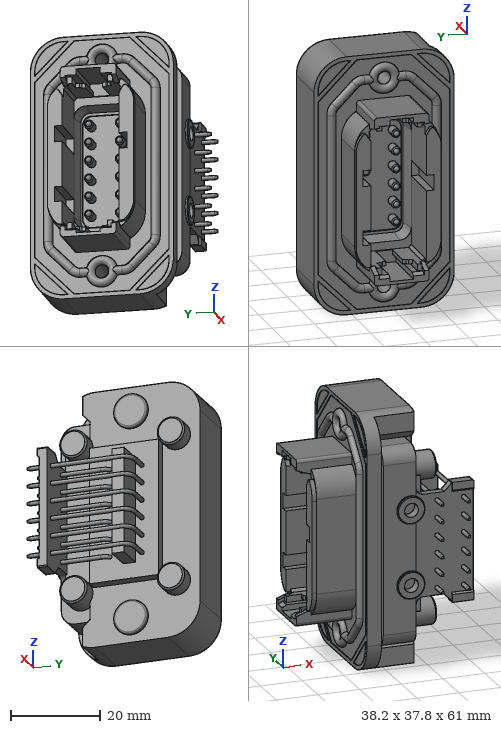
import cadquery as cq
import math


FLANGE_WIDTH = 33.0
FLANGE_HEIGHT = 61.0
FLANGE_CORNER_R = 7.7
FLANGE_PLATE_T = 3.5
FLANGE_REAR_X = 13.1
FLANGE_BORDER = 1.0
PANEL_RECESS = 0.2
PANEL_CHAMFER = 9.1
PANEL_RIB = 1.05
CORE_FACE_Y = -11.8
CORE_INSET = 1.8

HOUSING_REAR_X = 11.4
HOUSING_HALF_Z = 23.6
HOUSING_FACE_Y = -17.6
HOUSING_CORNER_R = 3.4
STEP_HALF_Z = 16.2
STEP_FACE_Y = -15.9
BOSS_REAR_X = 15.75
BOSS_BOTTOM_Y = -9.1
BOSS_TOP_Y = 7.5

POST_D = 6.6
POST_REAR_X = 17.1
POST_Z = 17.4
POST_YS = (10.9, -12.6)
POST_CHAMFER = 0.4
INSERT_D = 8.1
INSERT_Z = 24.65
INSERT_HEIGHT = 1.0
INSERT_FILLET = 0.4
MOUNT_HOLE_D = 3.1
MOUNT_HOLE_DEPTH = 11.0
BOARD_BOSS_D = 6.6
BOARD_BOSS_TIP_D = 6.2
BOARD_BOSS_HOLE_D = 3.3
BOARD_BOSS_HOLE_DEPTH = 2.5
BOARD_BOSS_X = 10.05
BOARD_BOSS_Z = 8.95
BOARD_BOSS_FACE_Y = -18.2

BEAD_R = 1.05
BEAD_CENTRE_X = 0.05
BEAD_HALF_Y = 12.4
BEAD_CHAMFER = 6.35
BEAD_BEND_R = 2.75
BEAD_RING_R = MOUNT_HOLE_D / 2 + BEAD_R

SHELL_HALF_Y = 10.0
SHELL_HALF_Z = 18.3
SHELL_CORNER_R = 7.0
SHELL_FRONT_X = -9.6
LIP_FRONT_X = -10.7
LIP_HALF_Y = 9.95
CAVITY_HALF_Y = 6.55
CAVITY_CORNER = 0.65
CAVITY_FLOOR_X = 0.5
KEYWAY_DEPTH = 1.8
KEYWAYS = ((1, 3.15, 6.83), (1, -10.8, -7.37), (-1, 0.66, 4.3))

LATCH_FRONT_X = -13.05
LATCH_HALF_Y = 6.45
LATCH_OUTER_Z = 19.85
LATCH_INNER_Z = 16.2
LATCH_TIP_Z = 17.35
LATCH_WEB_Z = 17.75
LATCH_CHANNEL_Z = 19.1
LATCH_CHANNEL_HALF_Y = 2.75
LATCH_RAMP_END_X = -9.8
LATCH_EDGE_R = 0.75
LATCH_LEG_Y = 5.3
LATCH_RIB_Y = 4.15
LATCH_RIB_FRONT_X = -11.5
LATCH_PAD_Y = 1.95
LATCH_PAD_Z = 17.2
LATCH_PAD_FRONT_X = -7.9
LATCH_PAD_BEVEL_Y = 3.2
LATCH_PAD_BEVEL = 0.45
LEAD_IN_HEIGHT = 0.6
LEAD_IN_LENGTH = 1.1

POCKET_WIDTH = 2 * CAVITY_HALF_Y
POCKET_HEIGHT = 28.6
POCKET_CORNER_R = 2.75
POCKET_DEPTH = 4.0
POCKET_DRAFT = 0.65
WELL_WIDTH = 11.1
WELL_HEIGHT = 26.0
WELL_DEPTH = 0.5
PIN_PITCH = 4.18
PINS_PER_ROW = 6
PIN_ROW_Y = 3.55
CONTACT_D = 2.0
CONTACT_TIP_D = 1.4
CONTACT_SHOULDER = 0.3
CONTACT_FRONT_X = 2.0

TAIL_D = 1.0
TAIL_BEND_R = 2.4
TAIL_END_Y = -21.25
TAIL_TIP_D = 0.6
TAIL_TIP_LENGTH = 0.7
TAIL_ROWS = ((PIN_ROW_Y, 22.75), (-PIN_ROW_Y, 16.4))

PLATE_TOP_Y = -15.6
PLATE_BOTTOM_Y = -17.55
PLATE_REAR_X = 25.15
PLATE_NECK_HALF_Z = 12.2
PLATE_END_HALF_Z = 14.3
PLATE_FLARE_START_X = 18.1
PLATE_FLARE_END_X = PLATE_FLARE_START_X + PLATE_END_HALF_Z - PLATE_NECK_HALF_Z
PLATE_ROOT_R = 1.7
FOOT_FRONT_X = 19.95
FOOT_INNER_Z = 12.0
FOOT_BOTTOM_Y = -18.0
FOOT_CHAMFER = 0.3
FOOT_INNER_BEVEL = 0.42
BAR_REAR_X = 22.9
BAR_TOP_Y = 2.0
BAR_BOTTOM_Y = -0.9
BAR_HALF_Z = 12.5

PIN_ZS = [PIN_PITCH * (i - (PINS_PER_ROW - 1) / 2) for i in range(PINS_PER_ROW)]


def block(x0, x1, y0, y1, z0, z1):
    """Box between two opposite corners."""
    size = (x1 - x0, y1 - y0, z1 - z0)
    return cq.Workplane("XY").box(*size, centered=False).translate((x0, y0, z0))


def rounded_block(x0, x1, half_y, half_z, radius):
    """Box along X, centred in Y and Z, with its four long edges rounded."""
    return block(x0, x1, -half_y, half_y, -half_z, half_z).edges("|X").fillet(radius)


def rod_x(diameter, x0, x1, y, z):
    """Cylinder along X."""
    return cq.Workplane("YZ", origin=(x0, y, z)).circle(diameter / 2).extrude(x1 - x0)


def rod_y(diameter, y0, y1, x, z):
    """Cylinder that runs along -Y from y0 down to y1."""
    return cq.Workplane("XZ", origin=(x, y0, z)).circle(diameter / 2).extrude(y0 - y1)


def mirror_z(shape):
    """Shape together with its mirror image about z = 0."""
    return shape.union(shape.mirror("XY"))


def make_flange():
    half_y = FLANGE_WIDTH / 2
    half_z = FLANGE_HEIGHT / 2
    flange = rounded_block(0, FLANGE_REAR_X, half_y, half_z, FLANGE_CORNER_R)
    bay_y = CORE_FACE_Y + CORE_INSET
    bay_mouth_z = HOUSING_HALF_Z + CORE_INSET
    bay = (
        cq.Workplane("YZ", origin=(FLANGE_PLATE_T, 0, 0))
        .moveTo(-half_y, half_z)
        .lineTo(CORE_FACE_Y, half_z)
        .lineTo(CORE_FACE_Y, bay_mouth_z)
        .lineTo(bay_y, HOUSING_HALF_Z)
        .lineTo(bay_y, -HOUSING_HALF_Z)
        .lineTo(CORE_FACE_Y, -bay_mouth_z)
        .lineTo(CORE_FACE_Y, -half_z)
        .lineTo(-half_y, -half_z)
        .close()
        .extrude(FLANGE_REAR_X - FLANGE_PLATE_T)
    )
    return flange.cut(bay).cut(make_panel_recess())


def make_panel_recess():
    """Shallow octagonal recess and the four corner recesses beyond its diagonal ribs."""
    half_y = FLANGE_WIDTH / 2 - FLANGE_BORDER
    half_z = FLANGE_HEIGHT / 2 - FLANGE_BORDER
    octagon = block(0, PANEL_RECESS, -half_y, half_y, -half_z, half_z)
    octagon = octagon.edges("|X").chamfer(PANEL_CHAMFER)
    rib_chamfer = PANEL_CHAMFER - PANEL_RIB * math.sqrt(2)
    ribbed = block(0, PANEL_RECESS, -half_y, half_y, -half_z, half_z)
    ribbed = ribbed.edges("|X").chamfer(rib_chamfer)
    corners = rounded_block(0, PANEL_RECESS, half_y, half_z, FLANGE_CORNER_R - FLANGE_BORDER)
    return octagon.union(corners.cut(ribbed))


def make_housing():
    inner_y = CORE_FACE_Y + CORE_INSET
    housing = block(
        FLANGE_PLATE_T, HOUSING_REAR_X, HOUSING_FACE_Y, inner_y, -HOUSING_HALF_Z, HOUSING_HALF_Z
    )
    housing = housing.edges("|X and <Y").fillet(HOUSING_CORNER_R)
    step = block(HOUSING_REAR_X, FLANGE_REAR_X, STEP_FACE_Y, inner_y, -STEP_HALF_Z, STEP_HALF_Z)
    boss = block(
        FLANGE_REAR_X, BOSS_REAR_X, BOSS_BOTTOM_Y, BOSS_TOP_Y, -STEP_HALF_Z, STEP_HALF_Z
    )
    return housing.union(step).union(boss)


def make_posts():
    posts = cq.Workplane("XY")
    for y in POST_YS:
        post = rod_x(POST_D, HOUSING_REAR_X, POST_REAR_X, y, POST_Z)
        posts = posts.union(post.faces(">X").edges().chamfer(POST_CHAMFER))
    return mirror_z(posts)


def make_inserts():
    insert = rod_x(INSERT_D, FLANGE_REAR_X, FLANGE_REAR_X + INSERT_HEIGHT, 0, INSERT_Z)
    return mirror_z(insert.faces(">X").edges().fillet(INSERT_FILLET))


def make_mount_holes():
    return mirror_z(rod_x(MOUNT_HOLE_D, -BEAD_R, MOUNT_HOLE_DEPTH, 0, INSERT_Z))


def make_board_bosses():
    boss = rod_y(BOARD_BOSS_D, PLATE_TOP_Y, BOARD_BOSS_FACE_Y, BOARD_BOSS_X, BOARD_BOSS_Z)
    boss = boss.faces("<Y").edges().chamfer((BOARD_BOSS_D - BOARD_BOSS_TIP_D) / 2)
    return mirror_z(boss)


def make_board_boss_holes():
    hole_end_y = BOARD_BOSS_FACE_Y + BOARD_BOSS_HOLE_DEPTH
    hole = rod_y(BOARD_BOSS_HOLE_D, hole_end_y, BOARD_BOSS_FACE_Y, BOARD_BOSS_X, BOARD_BOSS_Z)
    return mirror_z(hole)


def make_gasket():
    """Round bead on an octagonal loop, with a ring around each mounting hole."""
    loop_face = (
        block(BEAD_CENTRE_X, BEAD_R, -BEAD_HALF_Y, BEAD_HALF_Y, -INSERT_Z, INSERT_Z)
        .edges("|X")
        .chamfer(BEAD_CHAMFER)
        .edges("|X")
        .fillet(BEAD_BEND_R)
        .faces("<X")
    )
    path = cq.Workplane(obj=loop_face.val().outerWire())
    section = cq.Workplane("XY", origin=(BEAD_CENTRE_X, BEAD_HALF_Y, 0)).circle(BEAD_R)
    bead = section.sweep(path, transition="round")
    ring = cq.Workplane(
        obj=cq.Solid.makeTorus(
            BEAD_RING_R, BEAD_R, cq.Vector(BEAD_CENTRE_X, 0, INSERT_Z), cq.Vector(1, 0, 0)
        )
    )
    ring_core = rod_x(2 * BEAD_RING_R, -BEAD_R, PANEL_RECESS, 0, INSERT_Z)
    return bead.cut(mirror_z(ring_core)).union(mirror_z(ring))


def make_shroud():
    shell = rounded_block(SHELL_FRONT_X, PANEL_RECESS, SHELL_HALF_Y, SHELL_HALF_Z, SHELL_CORNER_R)
    gap = block(
        SHELL_FRONT_X, PANEL_RECESS, -CAVITY_HALF_Y, CAVITY_HALF_Y, -SHELL_HALF_Z, SHELL_HALF_Z
    )
    shroud = shell.cut(gap)
    lip = make_lip()
    return shroud.union(lip).union(lip.mirror("XZ"))


def make_keyways():
    keyways = cq.Workplane("XY")
    for side, low_z, high_z in KEYWAYS:
        y0, y1 = sorted((side * CAVITY_HALF_Y, side * (CAVITY_HALF_Y + KEYWAY_DEPTH)))
        keyways = keyways.union(block(LIP_FRONT_X, CAVITY_FLOOR_X, y0, y1, low_z, high_z))
    return keyways


def make_cavity_floor():
    """Sunken floor between the two shells, with bevelled corners."""
    floor = block(0, CAVITY_FLOOR_X, -CAVITY_HALF_Y, CAVITY_HALF_Y, -LATCH_INNER_Z, LATCH_INNER_Z)
    return floor.edges("|X").chamfer(CAVITY_CORNER)


def make_lip():
    """Raised front edge of the +Y shell, with a rounded nose at the top and a blunt lower end."""
    straight_z = 10.9
    shoulder = (9.35, 13.9)
    nose_start = (8.4, 15.25)
    nose_tip = (7.9, 15.45)
    nose_end = (7.4, 15.1)
    inner_top_z = 13.8
    lower_shoulder = (9.3, -14.0)
    lower_end = (7.7, -16.0)
    inner_bottom_z = -16.2
    return (
        cq.Workplane("YZ", origin=(LIP_FRONT_X, 0, 0))
        .moveTo(LIP_HALF_Y, -straight_z)
        .lineTo(LIP_HALF_Y, straight_z)
        .threePointArc(shoulder, nose_start)
        .threePointArc(nose_tip, nose_end)
        .lineTo(CAVITY_HALF_Y, inner_top_z)
        .lineTo(CAVITY_HALF_Y, inner_bottom_z)
        .lineTo(*lower_end)
        .threePointArc(lower_shoulder, (LIP_HALF_Y, -straight_z))
        .close()
        .extrude(SHELL_FRONT_X - LIP_FRONT_X)
    )


def make_latches():
    arm = (
        cq.Workplane("XZ", origin=(0, LATCH_HALF_Y, 0))
        .moveTo(LATCH_FRONT_X, LATCH_OUTER_Z)
        .lineTo(PANEL_RECESS, LATCH_OUTER_Z)
        .lineTo(PANEL_RECESS, LATCH_INNER_Z)
        .lineTo(LATCH_RAMP_END_X, LATCH_INNER_Z)
        .lineTo(LATCH_FRONT_X, LATCH_TIP_Z)
        .close()
        .extrude(2 * LATCH_HALF_Y)
        .edges("|X and >Z")
        .fillet(LATCH_EDGE_R)
    )
    underside = block(LATCH_FRONT_X, 0, -LATCH_LEG_Y, LATCH_LEG_Y, LATCH_INNER_Z, LATCH_WEB_Z)
    channel = block(
        LATCH_FRONT_X, 0, -LATCH_CHANNEL_HALF_Y, LATCH_CHANNEL_HALF_Y, LATCH_INNER_Z, LATCH_CHANNEL_Z
    )
    arm = arm.cut(underside).cut(channel)
    rib = block(
        LATCH_RIB_FRONT_X, PANEL_RECESS, LATCH_RIB_Y, LATCH_LEG_Y, LATCH_INNER_Z, LATCH_WEB_Z
    )
    pad = (
        cq.Workplane("XY", origin=(0, 0, LATCH_INNER_Z))
        .moveTo(PANEL_RECESS, LATCH_LEG_Y)
        .lineTo(LATCH_PAD_FRONT_X, LATCH_LEG_Y)
        .lineTo(LATCH_PAD_FRONT_X, LATCH_PAD_BEVEL_Y)
        .lineTo(LATCH_PAD_FRONT_X + LATCH_PAD_BEVEL, LATCH_PAD_BEVEL_Y - LATCH_PAD_BEVEL)
        .lineTo(LATCH_PAD_FRONT_X + LATCH_PAD_BEVEL, LATCH_PAD_Y)
        .lineTo(PANEL_RECESS, LATCH_PAD_Y)
        .close()
        .extrude(LATCH_PAD_Z - LATCH_INNER_Z)
    )
    ribs = rib.union(pad).union(make_cavity_corner())
    arm = arm.union(ribs).union(ribs.mirror("XZ"))
    return arm.union(arm.mirror("XY").cut(make_lower_lead_in()))


def make_cavity_corner():
    """Sloping strip that joins the shell wall to the inner side of the latch arm."""
    wall_y = CAVITY_HALF_Y
    return (
        cq.Workplane("YZ", origin=(SHELL_FRONT_X, 0, 0))
        .moveTo(wall_y, LATCH_INNER_Z)
        .lineTo(wall_y, LATCH_INNER_Z - CAVITY_CORNER)
        .lineTo(wall_y - CAVITY_CORNER, LATCH_INNER_Z)
        .lineTo(wall_y - CAVITY_CORNER, LATCH_INNER_Z + CAVITY_CORNER)
        .lineTo(wall_y, LATCH_INNER_Z + CAVITY_CORNER)
        .close()
        .extrude(PANEL_RECESS - SHELL_FRONT_X)
    )


def make_lower_lead_in():
    """Sloping cut on the front edge of the lower arm's web."""
    return (
        cq.Workplane("XZ", origin=(0, LATCH_LEG_Y, 0))
        .moveTo(LATCH_FRONT_X, -LATCH_WEB_Z)
        .lineTo(LATCH_FRONT_X, -LATCH_WEB_Z - LEAD_IN_HEIGHT)
        .lineTo(LATCH_FRONT_X + LEAD_IN_LENGTH, -LATCH_WEB_Z)
        .close()
        .extrude(2 * LATCH_LEG_Y)
    )


def make_contact_pocket():
    """Drafted pocket behind the shroud with a shallow well in its floor."""
    floor_x = CAVITY_FLOOR_X + POCKET_DEPTH
    draft_angle = math.degrees(math.atan(POCKET_DRAFT / POCKET_DEPTH))
    pocket = (
        cq.Workplane("YZ", origin=(CAVITY_FLOOR_X, 0, 0))
        .sketch()
        .rect(POCKET_WIDTH, POCKET_HEIGHT)
        .vertices()
        .fillet(POCKET_CORNER_R)
        .finalize()
        .extrude(POCKET_DEPTH, taper=draft_angle)
    )
    well = rounded_block(
        floor_x,
        floor_x + WELL_DEPTH,
        WELL_WIDTH / 2,
        WELL_HEIGHT / 2,
        POCKET_CORNER_R - POCKET_DRAFT,
    )
    return pocket.union(well)


def make_contact(y, z):
    """Round contact with a bevelled shoulder and a domed tip."""
    contact = rod_x(CONTACT_D, CONTACT_FRONT_X, FLANGE_REAR_X, y, z)
    contact = contact.faces("<X").edges().chamfer(CONTACT_SHOULDER)
    dome = cq.Workplane("XY", origin=(CONTACT_FRONT_X, y, z)).sphere(CONTACT_TIP_D / 2)
    return contact.union(dome)


def make_tail(row_y, tail_x, z):
    """Round wire that leaves the rear boss along X and bends down through the plate."""
    bend_x = tail_x - TAIL_BEND_R
    mid_offset = TAIL_BEND_R * (1 - math.sqrt(0.5))
    path = (
        cq.Workplane("XY", origin=(0, 0, z))
        .moveTo(FLANGE_REAR_X, row_y)
        .lineTo(bend_x, row_y)
        .threePointArc((tail_x - mid_offset, row_y - mid_offset), (tail_x, row_y - TAIL_BEND_R))
        .lineTo(tail_x, TAIL_END_Y)
    )
    tail = cq.Workplane("YZ", origin=(FLANGE_REAR_X, row_y, z)).circle(TAIL_D / 2).sweep(path)
    return tail.faces("<Y").edges().chamfer(TAIL_TIP_LENGTH, (TAIL_D - TAIL_TIP_D) / 2)


def make_board_plate():
    root_z = PLATE_NECK_HALF_Z + PLATE_ROOT_R
    root_x = HOUSING_REAR_X + PLATE_ROOT_R
    root_mid = PLATE_ROOT_R * (1 - math.sqrt(0.5))
    upper_half = (
        cq.Workplane("XZ", origin=(0, PLATE_TOP_Y, 0))
        .moveTo(HOUSING_REAR_X, 0)
        .lineTo(HOUSING_REAR_X, root_z)
        .threePointArc(
            (HOUSING_REAR_X + root_mid, PLATE_NECK_HALF_Z + root_mid), (root_x, PLATE_NECK_HALF_Z)
        )
        .lineTo(PLATE_FLARE_START_X, PLATE_NECK_HALF_Z)
        .lineTo(PLATE_FLARE_END_X, PLATE_END_HALF_Z)
        .lineTo(PLATE_REAR_X, PLATE_END_HALF_Z)
        .lineTo(PLATE_REAR_X, 0)
        .close()
        .extrude(PLATE_TOP_Y - PLATE_BOTTOM_Y)
    )
    foot = block(
        FOOT_FRONT_X, PLATE_REAR_X, FOOT_BOTTOM_Y, PLATE_TOP_Y, FOOT_INNER_Z, PLATE_END_HALF_Z
    )
    foot = foot.edges("|X and <Y and <Z").chamfer(FOOT_INNER_BEVEL)
    half = upper_half.union(foot).edges("|Y and >X and >Z").chamfer(FOOT_CHAMFER)
    bar = block(BOSS_REAR_X, BAR_REAR_X, BAR_BOTTOM_Y, BAR_TOP_Y, -BAR_HALF_Z, BAR_HALF_Z)
    return mirror_z(half).union(bar)


body = make_flange()
for feature in (make_housing(), make_posts(), make_inserts(), make_board_plate(), make_board_bosses()):
    body = body.union(feature)
for feature in (make_shroud(), make_latches(), make_gasket()):
    body = body.union(feature)
for hollow in (make_keyways(), make_cavity_floor(), make_contact_pocket()):
    body = body.cut(hollow)
for holes in (make_mount_holes(), make_board_boss_holes()):
    body = body.cut(holes)
for pin_z in PIN_ZS:
    for pin_y, tail_x in TAIL_ROWS:
        body = body.union(make_contact(pin_y, pin_z))
        body = body.union(make_tail(pin_y, tail_x, pin_z))

result = body